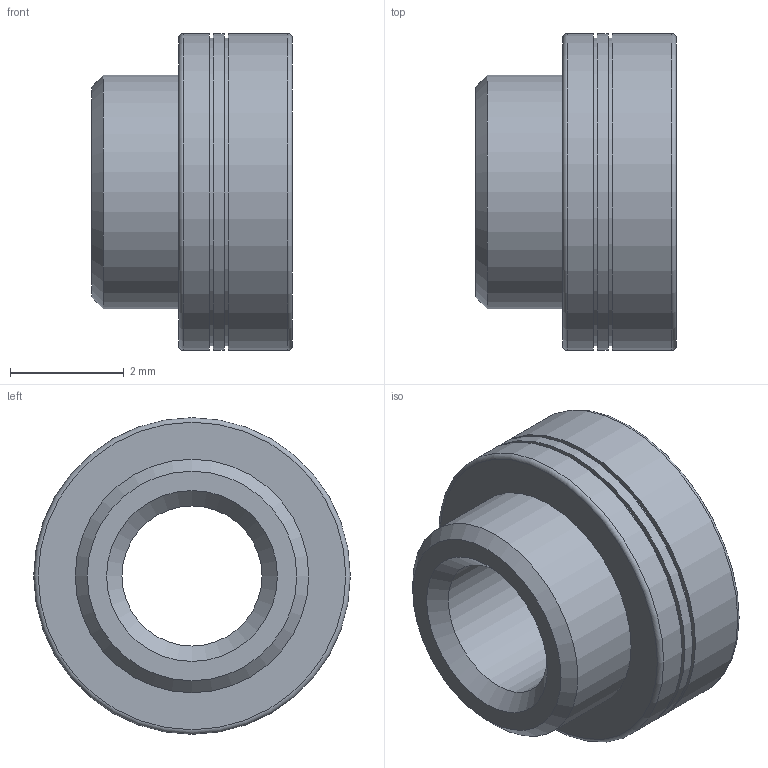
import cadquery as cq


overall_length = 3.53
flange_width = 2.0
flange_start = overall_length - flange_width

flange_diameter = 5.56
hub_diameter = 4.1
bore_diameter = 2.46
countersink_diameter = 3.0

hub_chamfer = 0.21
flange_edge_radius = 0.08
countersink_depth = (countersink_diameter - bore_diameter) / 2

groove_width = 0.07
groove_depth = 0.08
groove_count = 2
groove_pitch = 0.26
first_groove_offset = 0.54
groove_starts = [flange_start + first_groove_offset + i * groove_pitch for i in range(groove_count)]


def cylinder(start, length, diameter):
    """Solid cylinder on the X axis, beginning at X = start."""
    return cq.Workplane("YZ").workplane(offset=start).circle(diameter / 2).extrude(length)


def hub():
    """Full-length core with a chamfered outer edge at its free end."""
    return cylinder(0, overall_length, hub_diameter).faces("<X").chamfer(hub_chamfer)


def flange():
    """Disc with both rim edges rounded."""
    disc = cylinder(flange_start, flange_width, flange_diameter)
    return disc.faces("<X or >X").edges().fillet(flange_edge_radius)


def rim_groove(start):
    """Ring of material removed from the flange rim."""
    outer = cylinder(start, groove_width, flange_diameter)
    core = cylinder(start, groove_width, flange_diameter - 2 * groove_depth)
    return outer.cut(core)


def bore():
    """Through hole along the whole bushing."""
    return cylinder(0, overall_length, bore_diameter)


def countersink_bore_mouth(body):
    """Break the bore edge in the hub end face into a conical mouth."""
    bore_edge = cq.selectors.RadiusNthSelector(0)
    return body.faces("<X").edges(bore_edge).chamfer(countersink_depth)


result = hub().union(flange())
for groove_start in groove_starts:
    result = result.cut(rim_groove(groove_start))
result = result.cut(bore())
result = countersink_bore_mouth(result)